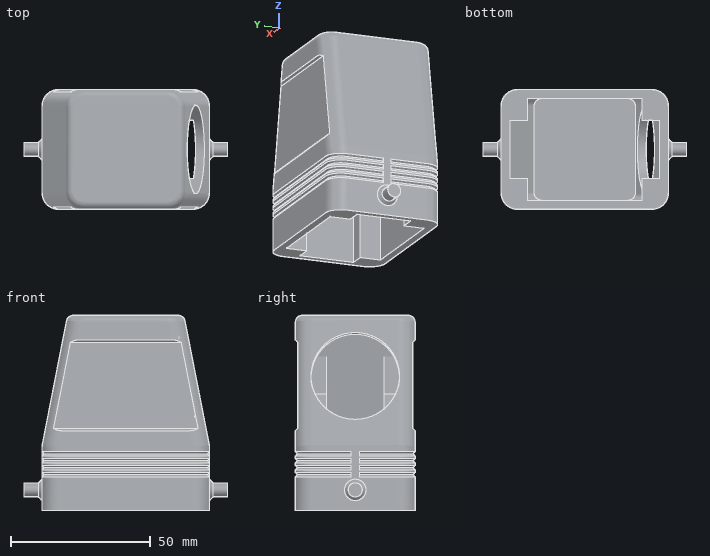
import cadquery as cq
import math

pin_span = 73.0
base_length = 60.0
width = 43.0
height = 70.0
bend_height = 23.35
end_slope = 11.1
corner_radius = 6.0
bend_radius = 6.0
top_radius = 2.55

wall = 3.3
post_gap = 20.7
post_face = 20.45

recess_bottom = 28.6
recess_top = 61.2
recess_depth = 0.9

groove_count = 4
groove_pitch = 2.5
groove_first = 12.9
groove_height = 1.7
groove_depth = 0.7
bridge_width = 3.0

pin_diameter = 5.05
pin_height = 7.45
collar_length = 1.3

entry_diameter = 31.7
entry_height = 48.25
entry_depth = 11.7

half_base = base_length / 2
slope_run = math.tan(math.radians(end_slope))
lean_cos = math.cos(math.radians(end_slope))


def half_length_at(z):
    """Half length of the outside along X at a height above the bend."""
    return half_base - (z - bend_height) * slope_run


def tapered_prism(inset, radius, bend):
    """Body with straight lower and leaning upper end walls, moved inward by inset."""
    top = height - inset
    half_low = half_base - inset
    half_top = half_length_at(top) - inset / lean_cos
    bend_z = bend_height - inset * math.tan(math.radians(end_slope / 2))
    half_width = width / 2 - inset
    outline = [
        (-half_low, 0),
        (half_low, 0),
        (half_low, bend_z),
        (half_top, top),
        (-half_top, top),
        (-half_low, bend_z),
    ]
    prism = cq.Workplane("XZ").polyline(outline).close().extrude(half_width, both=True)
    bend_edges = cq.selectors.BoxSelector(
        (-half_base, -width, bend_z - 0.7), (half_base, width, bend_z + 0.7)
    )
    prism = prism.edges("|Y").edges(bend_edges).fillet(bend)
    return prism.faces("<Y or >Y").edges("not(|X)").fillet(radius)


def cavity():
    """Hollow of even wall thickness with a post left standing in each corner."""
    hollow = tapered_prism(wall, corner_radius - wall, bend_radius - wall)
    post_length = half_base - post_face
    post_width = (width - post_gap) / 2
    posts = (
        cq.Workplane("XY")
        .rect(2 * post_face + post_length, post_gap + post_width, forConstruction=True)
        .vertices()
        .rect(post_length, post_width)
        .extrude(height)
    )
    return hollow.cut(posts)


def side_recess(side):
    """Recess with 45 degree ends, running the full length of one broad side."""
    face = side * width / 2
    floor = face - side * recess_depth
    return (
        cq.Workplane("YZ")
        .polyline([
            (face, recess_bottom),
            (floor, recess_bottom + recess_depth),
            (floor, recess_top - recess_depth),
            (face, recess_top),
        ])
        .close()
        .extrude(half_base, both=True)
    )


def groove(z):
    """V-groove around the base at height z, interrupted on both end walls."""
    half_height = groove_height / 2
    taper = math.degrees(math.atan(groove_depth / half_height))
    section = cq.Sketch().rect(base_length, width).vertices().fillet(corner_radius)
    lower = (
        cq.Workplane("XY", origin=(0, 0, z - half_height))
        .placeSketch(section)
        .extrude(half_height, taper=taper)
    )
    upper = lower.mirror("XY", (0, 0, z))
    ring = cq.Workplane("XY", origin=(0, 0, z)).box(pin_span, pin_span, groove_height)
    bridge = cq.Workplane("XY", origin=(0, 0, z)).box(pin_span, bridge_width, groove_height)
    return ring.cut(lower).cut(upper).cut(bridge)


def locking_pin(side):
    """Round pin with a conical collar on one end wall."""
    pin_radius = pin_diameter / 2
    root = half_base - wall / 2
    collar_end = half_base + collar_length
    collar_radius = pin_radius + collar_length
    profile = [
        (side * root, 0),
        (side * root, collar_radius),
        (side * half_base, collar_radius),
        (side * collar_end, pin_radius),
        (side * pin_span / 2, pin_radius),
        (side * pin_span / 2, 0),
    ]
    return (
        cq.Workplane("XZ", origin=(0, 0, pin_height))
        .polyline(profile)
        .close()
        .revolve(360, (0, 0, 0), (1, 0, 0))
    )


def cable_entry():
    """Round hole square to the sloped +X wall, also clearing the posts behind it."""
    outward = (lean_cos, 0, math.sin(math.radians(end_slope)))
    centre = (half_length_at(entry_height), 0, entry_height)
    return (
        cq.Workplane(cq.Plane(origin=centre, xDir=(0, 1, 0), normal=outward))
        .circle(entry_diameter / 2)
        .extrude(entry_depth / 2, both=True)
    )


body = tapered_prism(0, corner_radius, bend_radius)
body = body.faces(">Z").edges().fillet(top_radius)
body = body.cut(cavity())
for side in (-1, 1):
    body = body.cut(side_recess(side))
for index in range(groove_count):
    body = body.cut(groove(groove_first + index * groove_pitch))
for side in (-1, 1):
    body = body.union(locking_pin(side))
result = body.cut(cable_entry())